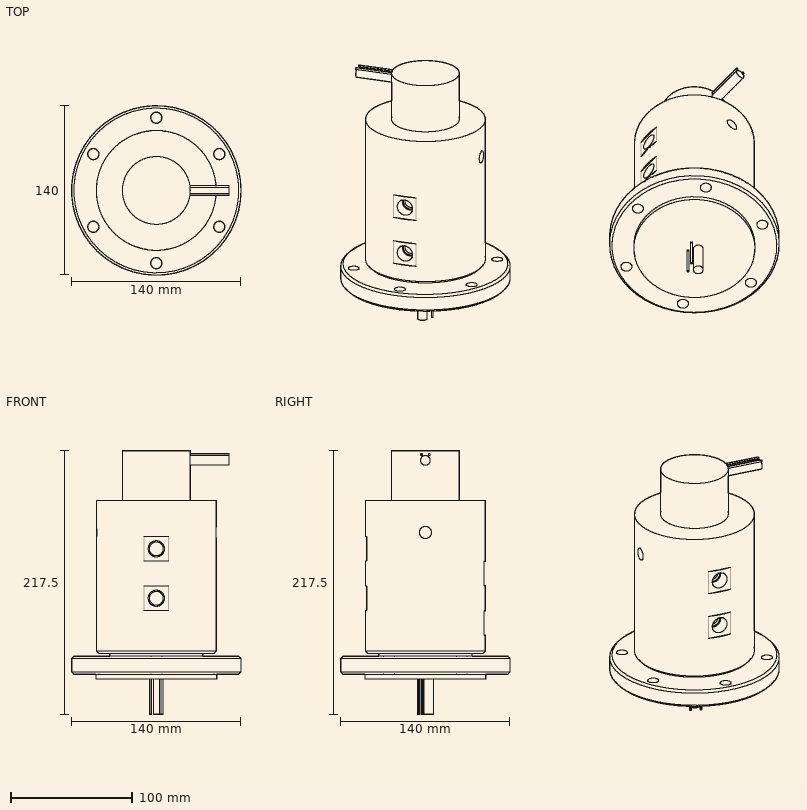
import cadquery as cq
import math

flange_diameter = 140.0
flange_height = 15.0
edge_chamfer = 2.0
bolt_circle_diameter = 120.0
bolt_hole_diameter = 9.0
bolt_hole_count = 6

spigot_diameter = 100.0
spigot_height = 4.0

neck_diameter = 77.0
neck_height = 2.0
body_diameter = 99.0
body_height = 126.5
cap_diameter = 56.0
cap_height = 41.0

body_bottom = flange_height + neck_height
body_top = body_bottom + body_height
cap_top = body_top + cap_height

port_flat_size = 20.0
port_pitch = 20.4
top_port_below_body_top = 40.0
front_port_steps = (0, 2)
back_port_steps = (1, 3)
port_thread_diameter = 13.4
port_thread_depth = 12.0
port_bore_diameter = 11.4
port_bore_depth = 15.0
drill_point_angle = 118.0

side_hole_diameter = 10.0
side_hole_depth = 12.0
side_hole_below_body_top = 26.5

sheath_diameter = 8.0
wire_diameter = 1.5

side_cable_end = 60.0
side_sheath_below_top = 8.0
side_wire_rise = 4.8
side_wire_offset = 3.2

lower_cable_length = 29.0
lower_cable_center_y = -1.9
lower_strand_circle_radius = 5.0
lower_sheath_angle = 71.0
lower_strand_count = 3


def disc(diameter, bottom, height):
    """Upright cylinder on the main axis."""
    return cq.Workplane("XY").workplane(offset=bottom).circle(diameter / 2).extrude(height)


def make_housing():
    """Spigot, flange, neck, body and cap without their holes."""
    flange = disc(flange_diameter, 0, flange_height).edges().chamfer(edge_chamfer)
    body = disc(body_diameter, body_bottom, body_height).edges("<Z").chamfer(edge_chamfer)
    return (
        flange.union(disc(spigot_diameter, -spigot_height, spigot_height))
        .union(disc(neck_diameter, flange_height, neck_height))
        .union(body)
        .union(disc(cap_diameter, body_top, cap_height))
    )


def make_bolt_holes():
    """Through holes of the flange, the first one on the +Y axis."""
    return (
        cq.Workplane("XY")
        .polarArray(bolt_circle_diameter / 2, 90, 360, bolt_hole_count)
        .circle(bolt_hole_diameter / 2)
        .extrude(flange_height)
    )


def drill_tool(diameter, depth):
    """Blind drilled hole entering at Y = 0 towards +Y and ending in a drill point."""
    radius = diameter / 2
    point_depth = radius / math.tan(math.radians(drill_point_angle / 2))
    return (
        cq.Workplane("XY")
        .polyline([(0, 0), (radius, 0), (radius, depth), (0, depth + point_depth)])
        .close()
        .revolve(360, (0, 0, 0), (0, 1, 0))
    )


def make_port():
    """Cutter for one port on the -Y side at Z = 0: a flat whose side edges meet the body surface."""
    body_radius = body_diameter / 2
    flat_distance = math.sqrt(body_radius**2 - (port_flat_size / 2) ** 2)
    flat = (
        cq.Workplane("XZ", origin=(0, -flat_distance, 0))
        .rect(port_flat_size, port_flat_size)
        .extrude(body_radius - flat_distance)
    )
    thread = cq.Workplane("XZ").circle(port_thread_diameter / 2).extrude(-port_thread_depth)
    hole = thread.union(drill_tool(port_bore_diameter, port_bore_depth))
    return flat.union(hole.translate((0, -flat_distance, 0)))


def cut_ports(part):
    port = make_port()
    top_port_z = body_top - top_port_below_body_top
    for steps, turn in ((front_port_steps, 0), (back_port_steps, 180)):
        turned_port = port.rotate((0, 0, 0), (0, 0, 1), turn)
        for step in steps:
            part = part.cut(turned_port.translate((0, 0, top_port_z - step * port_pitch)))
    return part


def cut_side_holes(part):
    hole = drill_tool(side_hole_diameter, side_hole_depth)
    hole = hole.translate((0, -body_diameter / 2, body_top - side_hole_below_body_top))
    for turn in (-90, 90):
        part = part.cut(hole.rotate((0, 0, 0), (0, 0, 1), turn))
    return part


def make_side_cable():
    """Sheath with two wires above it, running along +X from inside the cap."""
    sheath_z = cap_top - side_sheath_below_top
    wire_z = sheath_z + side_wire_rise
    plane = cq.Workplane("YZ")
    sheath = plane.center(0, sheath_z).circle(sheath_diameter / 2).extrude(side_cable_end)
    wires = (
        plane.pushPoints([(-side_wire_offset, wire_z), (side_wire_offset, wire_z)])
        .circle(wire_diameter / 2)
        .extrude(side_cable_end)
    )
    return sheath.union(wires)


def make_lower_cable():
    """Sheath and two wires hanging from the spigot."""
    cable = cq.Workplane("XY")
    for strand in range(lower_strand_count):
        angle = math.radians(lower_sheath_angle + strand * 360 / lower_strand_count)
        x = lower_strand_circle_radius * math.cos(angle)
        y = lower_cable_center_y + lower_strand_circle_radius * math.sin(angle)
        diameter = sheath_diameter if strand == 0 else wire_diameter
        strand_solid = disc(diameter, -spigot_height, -lower_cable_length)
        cable = cable.add(strand_solid.translate((x, y, 0)))
    return cable.combine()


part = make_housing().cut(make_bolt_holes())
part = cut_ports(part)
part = cut_side_holes(part)
result = part.union(make_side_cable()).union(make_lower_cable())